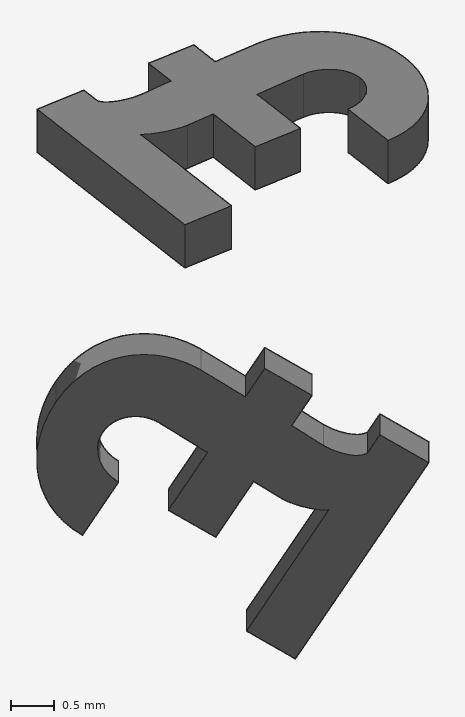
import cadquery as cq

width = 2.9
height = 4.03
thickness = 0.6

foot_left = 0.01
foot_top = 0.66
foot_stem_left = 0.275
foot_stem_right = 1.115

bar_right = 2.09
bar_bottom = 1.58
bar_top = 2.22

stem_left_low = (0.465, 1.14)
stem_left_bar_bottom = 0.445
stem_left_bar_top = 0.42
stem_left_high = (0.405, 2.83)
stem_right_low = (1.28, 1.205)
stem_right_bar_bottom = 1.27
stem_right_bar_top = 1.24
stem_right_high = (1.217, 2.89)

left_bend_height = 0.737
right_bend_height = 0.885

hook_right = 2.877
hook_end = 2.89
outer_crest = (1.62, height)
inner_crest = (1.66, 3.375)

round_handle = 0.55
outer_handle = 0.58


def toward(start, corner, handle):
    """Point on the way from a curve's end to the corner where its tangents meet."""
    return tuple(a + handle * (b - a) for a, b in zip(start, corner))


def curve_to(outline, start, corner, end, handle=round_handle):
    """Add a rounded quarter tangent to the lines from its ends to the corner."""
    return outline.bezier([start, toward(start, corner, handle), toward(end, corner, handle), end])


outline = (
    cq.Workplane("XY")
    .moveTo(foot_left, 0)
    .lineTo(width, 0)
    .lineTo(width, foot_top)
    .lineTo(foot_stem_right, foot_top)
)
outline = curve_to(
    outline, (foot_stem_right, foot_top), (stem_right_low[0], right_bend_height), stem_right_low
)
outline = (
    outline.lineTo(stem_right_bar_bottom, bar_bottom)
    .lineTo(bar_right, bar_bottom)
    .lineTo(bar_right, bar_top)
    .lineTo(stem_right_bar_top, bar_top)
    .lineTo(*stem_right_high)
)

inner_end = (bar_right, hook_end)
outer_end = (hook_right, hook_end)
outline = curve_to(outline, stem_right_high, (stem_right_high[0], inner_crest[1]), inner_crest)
outline = curve_to(outline, inner_crest, (bar_right, inner_crest[1]), inner_end)
outline = outline.lineTo(*outer_end)
outline = curve_to(outline, outer_end, (hook_right, height), outer_crest, outer_handle)
outline = curve_to(
    outline, outer_crest, (stem_left_high[0], height), stem_left_high, outer_handle
)

outline = (
    outline.lineTo(stem_left_bar_top, bar_top)
    .lineTo(0, bar_top)
    .lineTo(0, bar_bottom)
    .lineTo(stem_left_bar_bottom, bar_bottom)
    .lineTo(*stem_left_low)
)
outline = curve_to(
    outline, stem_left_low, (stem_left_low[0], left_bend_height), (foot_stem_left, foot_top)
)
outline = outline.lineTo(foot_left, foot_top).close()

result = outline.extrude(thickness)